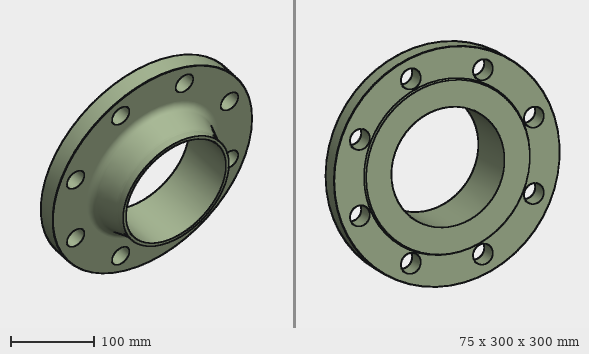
import cadquery as cq

total_length = 75.0
flange_diameter = 300.0
flange_back = 28.0
face_height = 3.0
face_diameter = 217.2
face_root_diameter = 220.2
bore_diameter = 150.0
pipe_diameter = 159.0
pipe_length = 12.0
hub_root_diameter = 181.8
hub_root_fillet = 10.8
pipe_blend_radius = 10.0
rim_chamfer = 0.5

bolt_count = 8
bolt_circle_diameter = 250.0
bolt_hole_diameter = 26.0

search_margin = 0.3


def cylinder(diameter, start, end):
    """Solid cylinder on the X axis between two X positions."""
    return cq.Workplane("YZ", origin=(start, 0, 0)).circle(diameter / 2).extrude(end - start)


def revolve_about_x(profile):
    """Solid of revolution from a list of (X, radius) points."""
    return cq.Workplane("XY").polyline(profile).close().revolve(360, (0, 0, 0), (1, 0, 0))


def make_plate():
    plate = cylinder(flange_diameter, face_height, flange_back).edges().chamfer(rim_chamfer)
    face_profile = [
        (0, 0),
        (0, face_diameter / 2),
        (face_height, face_root_diameter / 2),
        (face_height, 0),
    ]
    raised_face = revolve_about_x(face_profile)
    return plate.union(raised_face)


def make_hub():
    pipe_start = total_length - pipe_length
    profile = [
        (face_height, 0),
        (face_height, hub_root_diameter / 2),
        (flange_back, hub_root_diameter / 2),
        (pipe_start, pipe_diameter / 2),
        (total_length, pipe_diameter / 2),
        (total_length, 0),
    ]
    hub = revolve_about_x(profile)
    near_shoulder = cq.selectors.BoxSelector(
        (pipe_start - search_margin, -flange_diameter, -flange_diameter),
        (pipe_start + search_margin, flange_diameter, flange_diameter),
    )
    return hub.edges(near_shoulder).fillet(pipe_blend_radius)


def make_bolt_holes():
    half_step = 180 / bolt_count
    return (
        cq.Workplane("YZ")
        .polarArray(bolt_circle_diameter / 2, half_step, 360, bolt_count)
        .circle(bolt_hole_diameter / 2)
        .extrude(total_length)
    )


def fillet_hub_root(body):
    """Round the corner between the rear of the plate and the hub."""
    on_plate_back = (flange_back, 0, bolt_circle_diameter / 2)
    plate_back = body.faces(cq.selectors.NearestToPointSelector(on_plate_back))
    return plate_back.edges(cq.selectors.RadiusNthSelector(0)).fillet(hub_root_fillet)


body = fillet_hub_root(make_plate().union(make_hub()))
bore = cylinder(bore_diameter, 0, total_length)
result = body.cut(bore).cut(make_bolt_holes())